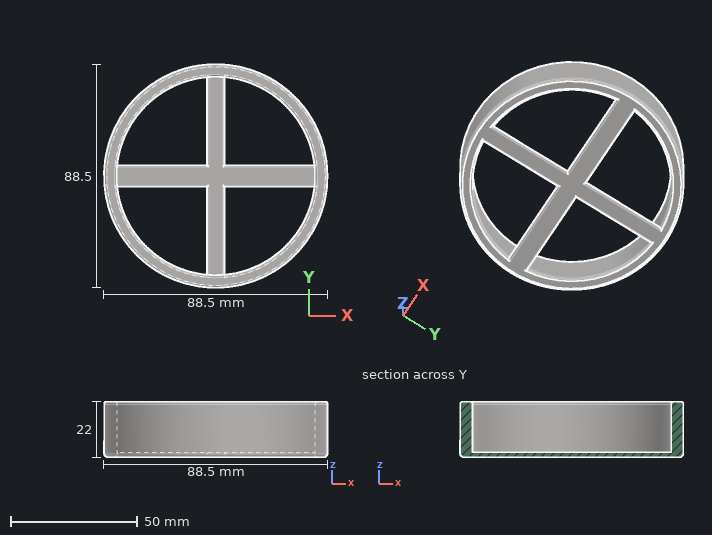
import cadquery as cq

outer_diameter = 88.5
bore_diameter = 78.5
height = 22.0
top_fillet = 1.0

bottom_chamfer = 1.0
chamfer_blend_radius = 1.15

bar_along_x_width = 8.6
bar_along_y_width = 7.1
bar_thickness = 2.0
bar_fillet = 0.7

bar_length = (outer_diameter + bore_diameter) / 2


def make_ring():
    """Ring with rounded top edges and blended chamfers on the bottom edges."""
    ring = cq.Workplane("XY").circle(outer_diameter / 2).circle(bore_diameter / 2).extrude(height)
    ring = ring.faces(">Z").edges().fillet(top_fillet)
    ring = ring.faces("<Z").edges().chamfer(bottom_chamfer)

    search_size = 2 * outer_diameter
    search_margin = bottom_chamfer / 10
    blend_edges = cq.selectors.BoxSelector(
        (-search_size, -search_size, bottom_chamfer - search_margin),
        (search_size, search_size, bottom_chamfer + search_margin),
    )
    return ring.edges("%CIRCLE").edges(blend_edges).fillet(chamfer_blend_radius)


def make_cross():
    """Two crossed bars with their top and bottom edges rounded."""
    base = cq.Workplane("XY")
    cross = base.rect(bar_length, bar_along_x_width).extrude(bar_thickness)
    cross = cross.union(base.rect(bar_along_y_width, bar_length).extrude(bar_thickness))
    return cross.faces("<Z or >Z").edges().fillet(bar_fillet)


result = make_ring().union(make_cross())